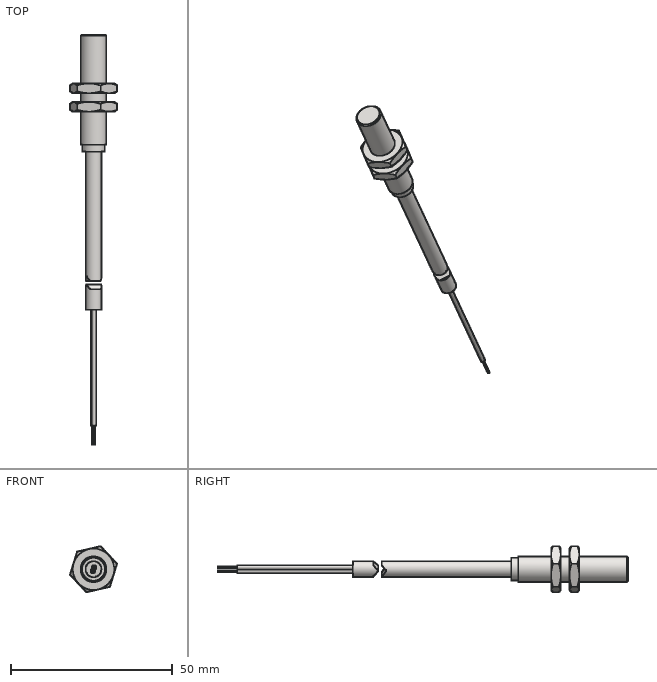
import cadquery as cq
import math


housing_diameter = 8.0
collar_diameter = 7.1
sleeve_end = 34.0
collar_end = 36.2
face_chamfer = 0.4

nut_across_flats = 13.0
nut_thickness = 3.0
nut_starts = [15.1, 20.8]
nut_rotation = 13.0
nut_face_diameter = 12.8
nut_chamfer_angle = 30.0

cable_diameter = 5.0
break_start = 76.3
break_gap = 2.5
break_depth = 1.5
break_lower_width = 2.2
break_upper_width = 1.5
break_offset = 0.4
break_rotation = 20.0
stub_end = 85.2

wire_diameter = 1.4
wire_spacing = 1.3
wire_rotation = 20.0
insulation_end = 121.0
core_diameter = 0.6
wire_end = 127.0


def rod(diameter, start, end, z=0):
    """Round bar along the axis between two stations."""
    return (
        cq.Workplane("XZ", origin=(0, -start, 0))
        .center(0, z)
        .circle(diameter / 2)
        .extrude(end - start)
    )


def make_housing():
    """Chamfered sleeve with a short, narrower collar at its cable end."""
    sleeve = rod(housing_diameter, 0, sleeve_end)
    sleeve = sleeve.faces(">Y").chamfer(face_chamfer)
    return sleeve.union(rod(collar_diameter, sleeve_end, collar_end))


def make_nut(start):
    """Hex nut with conically chamfered corners on both faces."""
    corner_radius = nut_across_flats / math.sqrt(3)
    face_radius = nut_face_diameter / 2
    chamfer_height = (corner_radius - face_radius) * math.tan(math.radians(nut_chamfer_angle))
    end = start + nut_thickness

    hexagon = (
        cq.Workplane("XZ", origin=(0, -start, 0))
        .polygon(6, 2 * corner_radius)
        .extrude(nut_thickness)
        .rotate((0, 0, 0), (0, 1, 0), -nut_rotation)
    )
    corner_envelope = (
        cq.Workplane("XY")
        .moveTo(0, -start)
        .lineTo(face_radius, -start)
        .lineTo(corner_radius, -start - chamfer_height)
        .lineTo(corner_radius, -end + chamfer_height)
        .lineTo(face_radius, -end)
        .lineTo(0, -end)
        .close()
        .revolve(360, (0, 0, 0), (0, 1, 0))
    )
    return hexagon.intersect(corner_envelope).cut(rod(housing_diameter, start, end))


def make_break():
    """Band that follows a V bent toward the housing, crossing the whole cable."""
    apex = break_start - break_depth
    lower = break_offset - break_lower_width
    upper = break_offset + break_upper_width
    near = [
        (-break_start, -cable_diameter),
        (-break_start, lower),
        (-apex, break_offset),
        (-break_start, upper),
        (-break_start, cable_diameter),
    ]
    far = [(y - break_gap, z) for y, z in reversed(near)]
    return (
        cq.Workplane("YZ")
        .polyline(near + far)
        .close()
        .extrude(cable_diameter, both=True)
        .rotate((0, 0, 0), (0, 1, 0), break_rotation)
    )


def make_cable_pieces():
    """Cable and stub left on either side of the break, in that order."""
    pieces = rod(cable_diameter, collar_end, stub_end).cut(make_break())
    return pieces.solids(">Y"), pieces.solids("<Y")


def make_wire_pair():
    """Two wires joined along their insulation, each with a bare core at its end."""
    half_spacing = wire_spacing / 2
    pair = cq.Workplane("XZ")
    for z in (-half_spacing, half_spacing):
        pair = pair.union(rod(wire_diameter, stub_end, insulation_end, z=z))
        pair = pair.union(rod(core_diameter, insulation_end, wire_end, z=z))
    return pair.rotate((0, 0, 0), (0, 1, 0), wire_rotation)


housing = make_housing()
nuts = [make_nut(start) for start in nut_starts]
cable, stub = make_cable_pieces()
wire_pair = make_wire_pair()

result = cq.Compound.makeCompound(
    [
        housing.solids().val(),
        *[nut.solids().val() for nut in nuts],
        cable.val(),
        stub.val(),
        wire_pair.solids().val(),
    ]
)